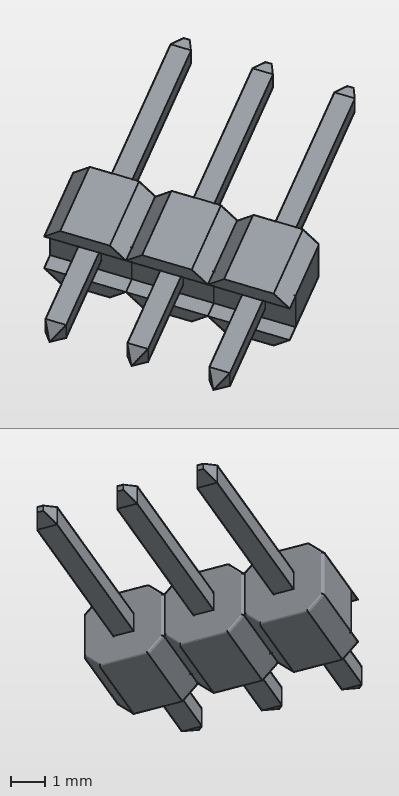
import cadquery as cq

cell_count = 3
row_width = 7.62
pitch = row_width / cell_count
total_length = 11.64

housing_height = 2.54
housing_depth = 2.54
corner_cut = 0.5
channel_depth = 0.5
rear_edge_radius = 0.1

pin_width = 0.64
pin_front_reach = 3.0
front_tip_length = 0.52
rear_tip_length = 0.5
rear_tip_width = 0.2

channel_height = housing_height - 2 * corner_cut
pin_front_end = -pin_front_reach
pin_rear_end = total_length - pin_front_reach
shaft_front = pin_front_end + front_tip_length
shaft_rear = pin_rear_end - rear_tip_length


def section_plane(y):
    """Plane facing +Y at the given Y, with its local Y axis pointing down Z."""
    return cq.Workplane(cq.Plane(origin=(0, y, 0), xDir=(1, 0, 0), normal=(0, 1, 0)))


def make_housing():
    """Block with cut corners, a front channel, a rounded rear outline and a square pin hole."""
    block = (
        section_plane(0)
        .rect(pitch, housing_height)
        .extrude(housing_depth)
        .edges("|Y")
        .chamfer(corner_cut)
    )
    block = block.faces(">Y").edges().fillet(rear_edge_radius)
    channel = section_plane(0).rect(pitch, channel_height).extrude(channel_depth)
    pin_hole = section_plane(0).rect(pin_width, pin_width).extrude(housing_depth)
    return block.cut(channel).cut(pin_hole)


def make_front_tip():
    """Sharp square pyramid whose apex is the front end of the pin."""
    half = pin_width / 2
    profile = [(pin_front_end, 0), (shaft_front, half), (shaft_front, -half)]
    side_wedge = cq.Workplane("YZ").polyline(profile).close().extrude(half, both=True)
    top_wedge = side_wedge.rotate((0, 0, 0), (0, 1, 0), 90)
    return side_wedge.intersect(top_wedge)


def make_pin():
    """Square pin with a sharp front tip and a blunt tapered rear tip."""
    shaft = section_plane(shaft_front).rect(pin_width, pin_width).extrude(shaft_rear - shaft_front)
    rear_tip = (
        section_plane(shaft_rear)
        .rect(pin_width, pin_width)
        .workplane(offset=rear_tip_length)
        .rect(rear_tip_width, rear_tip_width)
        .loft(ruled=True)
    )
    return shaft.union(make_front_tip()).union(rear_tip)


cell_centres = [(index - (cell_count - 1) / 2) * pitch for index in range(cell_count)]
housings = [make_housing().translate((x, 0, 0)) for x in cell_centres]
pins = [make_pin().translate((x, 0, 0)) for x in cell_centres]

result = cq.Compound.makeCompound([body.val() for body in housings + pins])